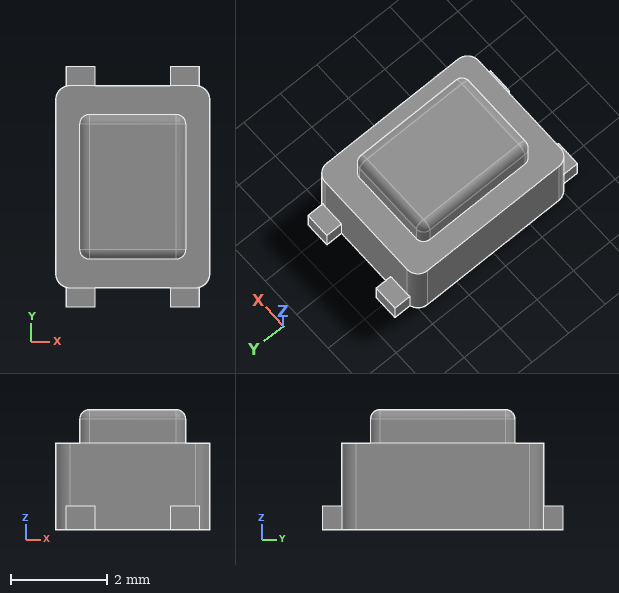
import cadquery as cq

body_width = 3.2
body_length = 4.2
body_height = 1.8
body_corner_radius = 0.3

button_width = 2.2
button_length = 3.0
overall_height = 2.5
button_edge_radius = 0.2

overall_length = 5.0
terminal_width = 0.6
terminal_height = 0.5
terminal_spacing = 2.165


def make_body():
    """Block standing on Z = 0 with rounded vertical corners."""
    block = cq.Workplane("XY").box(body_width, body_length, body_height, centered=(True, True, False))
    return block.edges("|Z").fillet(body_corner_radius)


def make_button():
    """Raised button with rounded vertical corners and top edges."""
    button_height = overall_height - body_height
    block = (
        cq.Workplane("XY", origin=(0, 0, body_height))
        .box(button_width, button_length, button_height, centered=(True, True, False))
    )
    return block.edges("|Z or >Z").fillet(button_edge_radius)


def make_terminals():
    """Two bars running under the housing, each showing a terminal at both ends."""
    return (
        cq.Workplane("XY")
        .rarray(terminal_spacing, 0.05, 2, 1)
        .box(terminal_width, overall_length, terminal_height, centered=(True, True, False))
    )


result = make_body().union(make_button()).union(make_terminals())